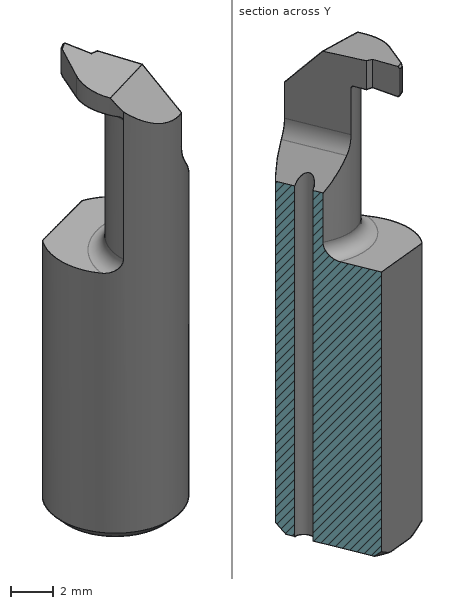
import cadquery as cq
import math

shank_radius = 3.5
flat_x = -2.85
shoulder_z = 15.0
overall_height = 25.0
base_chamfer = 0.5

neck_radius = 3.05
neck_axis_x = 2.87
neck_root_fillet = 0.8

rake_y = 0.1
ramp_angle = 50.0
ramp_foot_z = 20.35
ramp_fillet = 1.5

coolant_x = 1.45
coolant_y = 1.75
coolant_diameter = 1.0

tip_x = -2.8
tip_y = -0.03
tip_width = 1.6
land_end_x = -2.71
land_end_y = -0.4
flank_run = 1.72
heel_radius = 3.04
relief_angle = 4.0
side_relief_angle = 1.5
tip_corner = 0.1
back_bevel_x = 1.39
head_root_fillet = 0.15

groove_top_x = -1.02
groove_bottom_x = -1.17
groove_bottom_y = -0.22

margin = 2.0
left_limit = tip_x - margin
right_limit = shank_radius + margin


def make_shank():
    """Round shank with a turned base chamfer and a flat along its -X side."""
    bar = (
        cq.Workplane("XY")
        .circle(shank_radius)
        .extrude(overall_height)
        .faces("<Z")
        .chamfer(base_chamfer)
    )
    flat_cutter = cq.Workplane("XY", origin=(flat_x - margin / 2, 0, 0)).box(
        margin, 2 * shank_radius, overall_height, centered=(True, True, False)
    )
    return bar.cut(flat_cutter)


def make_coolant_hole():
    """Straight coolant bore parallel to the shank axis."""
    return (
        cq.Workplane("XY")
        .center(coolant_x, coolant_y)
        .circle(coolant_diameter / 2)
        .extrude(overall_height)
    )


def make_neck_envelope():
    """Solid of revolution about the neck axis: wide shank zone, root fillet, straight neck."""
    wide_radius = neck_axis_x + shank_radius + margin
    root_radius = neck_radius + neck_root_fillet
    bend = neck_root_fillet * (1 - math.sqrt(0.5))
    return (
        cq.Workplane("XZ")
        .lineTo(wide_radius, 0)
        .lineTo(wide_radius, shoulder_z)
        .lineTo(root_radius, shoulder_z)
        .threePointArc(
            (neck_radius + bend, shoulder_z + bend),
            (neck_radius, shoulder_z + neck_root_fillet),
        )
        .lineTo(neck_radius, overall_height)
        .lineTo(0, overall_height)
        .close()
        .revolve(360, (0, 0, 0), (0, 1, 0))
        .translate((neck_axis_x, 0, 0))
    )


def relieved_prism(outline):
    """Prism standing on the rake plane whose sides draw in by the relief angle towards -Y."""
    return (
        cq.Workplane("XZ", origin=(0, rake_y, 0))
        .polyline(outline)
        .close()
        .extrude(shank_radius + margin, taper=relief_angle)
    )


def side_relief(x):
    """Height lost to the side relief at a distance from the cutting tip."""
    return (x - tip_x) * math.tan(math.radians(side_relief_angle))


def front_relief(y):
    """Height lost to the front relief at a distance in front of the rake plane."""
    return (rake_y - y) * math.tan(math.radians(relief_angle))


def make_top_relief_block():
    """Everything below the relieved top face and the 45 degree back bevel."""
    crest_z = overall_height + front_relief(tip_y) + side_relief(tip_x + tip_corner)
    bevel_z = crest_z - side_relief(back_bevel_x)
    return relieved_prism([
        (left_limit, 0),
        (right_limit, 0),
        (right_limit, bevel_z - (right_limit - back_bevel_x)),
        (back_bevel_x, bevel_z),
        (left_limit, crest_z - side_relief(left_limit)),
    ])


def make_underside_block():
    """Everything above the relieved underside of the head."""
    bottom_z = overall_height - tip_width
    ceiling_z = overall_height + margin
    return relieved_prism([
        (left_limit, bottom_z + side_relief(left_limit)),
        (right_limit, bottom_z + side_relief(right_limit)),
        (right_limit, ceiling_z),
        (left_limit, ceiling_z),
    ])


def make_chip_space():
    """Space behind the rake plane, above a ramp that falls towards +Y."""
    back_y = shank_radius + margin
    ramp_drop = (back_y - rake_y) * math.tan(math.radians(ramp_angle))
    return (
        cq.Workplane("YZ")
        .moveTo(rake_y, overall_height + margin)
        .lineTo(rake_y, ramp_foot_z)
        .lineTo(back_y, ramp_foot_z - ramp_drop)
        .lineTo(back_y, overall_height + margin)
        .close()
        .extrude(2 * shank_radius, both=True)
        .edges(cq.selectors.NearestToPointSelector((0, rake_y, ramp_foot_z)))
        .fillet(ramp_fillet)
    )


def make_head():
    """Hooked cutting head: plan outline trimmed to the relieved block."""
    heel_x = land_end_x + flank_run
    heel_y = land_end_y - flank_run
    heel_axis_x = heel_x + heel_radius * math.sqrt(0.5)
    heel_axis_y = heel_y + heel_radius * math.sqrt(0.5)
    heel_start_angle = 225
    heel_end_angle = 270
    heel_mid_angle = math.radians((heel_start_angle + heel_end_angle) / 2)
    outline = (
        cq.Workplane("XY")
        .moveTo(groove_top_x, rake_y)
        .lineTo(groove_bottom_x, groove_bottom_y)
        .lineTo(tip_x, tip_y)
        .lineTo(land_end_x, land_end_y)
        .lineTo(heel_x, heel_y)
        .threePointArc(
            (
                heel_axis_x + heel_radius * math.cos(heel_mid_angle),
                heel_axis_y + heel_radius * math.sin(heel_mid_angle),
            ),
            (heel_axis_x, heel_axis_y - heel_radius),
        )
        .radiusArc((heel_axis_x + heel_radius, heel_axis_y), -heel_radius)
        .lineTo(heel_axis_x + heel_radius, rake_y)
        .close()
        .extrude(overall_height + margin)
    )
    head = outline.intersect(make_top_relief_block()).intersect(make_underside_block())
    land_edges = head.faces("<X").edges(">Z or <Z")
    shank_bounds = cq.Workplane("XY").circle(shank_radius).extrude(overall_height)
    return land_edges.chamfer(tip_corner).intersect(shank_bounds)


def make_top_waste():
    """Material in front of the rake plane that lies above the relieved top and bevel."""
    depth = shank_radius + margin
    waste = cq.Workplane("XY", origin=(0, rake_y - depth / 2, shoulder_z)).box(
        2 * depth, depth, overall_height - shoulder_z, centered=(True, True, False)
    )
    return waste.cut(make_top_relief_block())


def make_part():
    """Shank and neck column with the head blended on and the coolant bore cut through."""
    column = make_shank().intersect(make_neck_envelope())
    column = column.cut(make_chip_space()).cut(make_top_waste())
    part = column.union(make_head())
    diagonal = neck_radius * math.sqrt(0.5)
    head_root = (neck_axis_x - diagonal, -diagonal, overall_height - tip_width)
    part = part.edges(cq.selectors.NearestToPointSelector(head_root)).fillet(head_root_fillet)
    return part.cut(make_coolant_hole())


result = make_part()